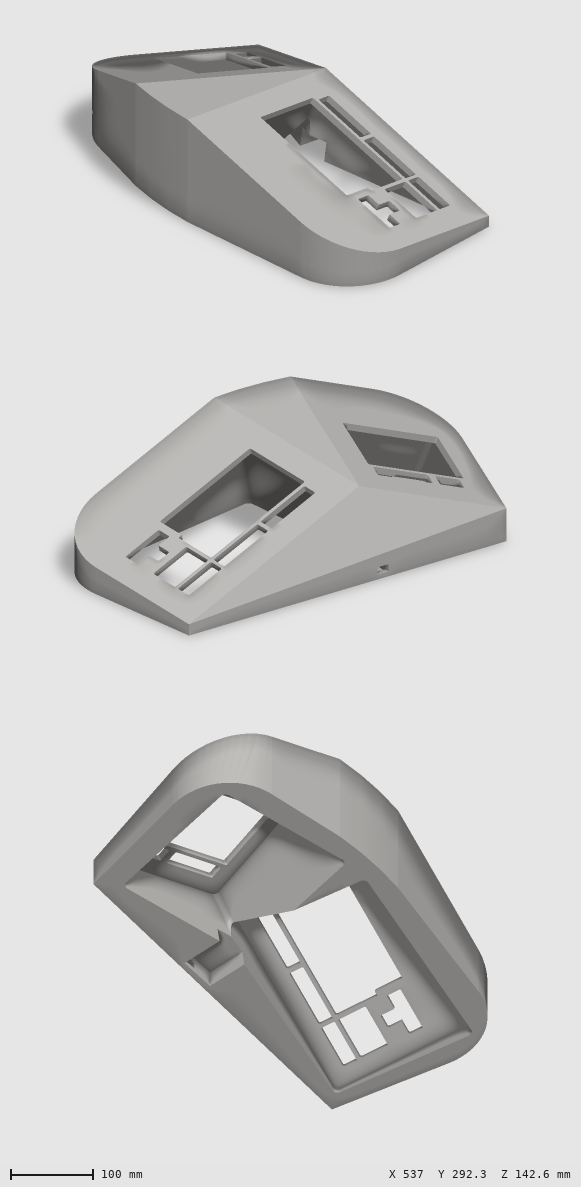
import cadquery as cq
import math

LEFT, RIGHT = -1, 1

SPLAY = 10.05
TENT = 18.8
PITCH = 7.4
TWIST = -0.52
HUB = cq.Vector(-41.1, 100.0, 109.8)
WING_WIDTH = {LEFT: 203.0, RIGHT: 293.5}
WING_DEPTH = 251.2
CORNER_RADIUS = 90.0
FAN_BULGE = 3.2

PLATE = 9.0
HUB_RIM = 15.0
BACK_RIM = 13.0
OUTER_RIM = 13.0
FRONT_RIM = 46.0
HOLLOW_RADIUS = 7.0
DEEP = 400.0

KEY = 19.0
OPENING_RADIUS = 2.0
OVERCUT = 5.0
FUNCTION_ROW = 35.3
MAIN_ROW = 59.0
MAIN_START = 35.0
MAIN_HEIGHT = 5 * KEY
LEFT_MAIN_WIDTH = 131.5
RIGHT_MAIN_WIDTH = 161.5
RIGHT_NARROW_WIDTH = 155.5
RIGHT_STEP = 3 * KEY
FUNCTION_WIDTH = 75.7
LEFT_FUNCTION_START = 39.3
LEFT_SINGLE_START = 125.0
LEFT_SINGLE_WIDTH = 33.5
RIGHT_FUNCTION_START = 40.4
FUNCTION_PITCH = 81.1
NAVIGATION_START = 201.5
ARROW_ROW = 107.0
ARROW_STEM_OVERLAP = KEY / 4

BAY_LEFT, BAY_RIGHT = -62.0, -14.0
BAY_FRONT, BAY_BACK = 40.0, 132.0
BAY_HEIGHT = 25.0
PORT_LEFT, PORT_RIGHT = -58.0, -42.0
PORT_BOTTOM, PORT_TOP = 6.6, 16.4
PORT_END = 160.0


def wing_axes(side):
    """Unit vectors across a wing, away from the hub, and along it, towards the front."""
    splay, tent, pitch, twist = (math.radians(angle) for angle in (SPLAY, TENT, PITCH, TWIST))
    heading = splay + math.asin(math.tan(tent) * math.tan(pitch))
    across = cq.Vector(
        side * math.cos(tent) * math.cos(splay),
        math.cos(tent) * math.sin(splay),
        -math.sin(tent),
    )
    along = cq.Vector(
        side * math.cos(pitch) * math.sin(heading),
        -math.cos(pitch) * math.cos(heading),
        math.sin(pitch),
    )
    turn = cq.Plane.XY().rotated((0, 0, math.degrees(twist)))
    return turn.toWorldCoords(across), turn.toWorldCoords(along)


def panel_plane(side, depth=0.0):
    """Plane of a panel, or one parallel to it at a depth below, with local Y towards the front."""
    across, along = wing_axes(side)
    normal = across.cross(along)
    downward = normal * (-1 if normal.z > 0 else 1)
    return cq.Plane(HUB + downward * depth, across, normal)


def panel_point(side, across, along):
    return panel_plane(side).toWorldCoords((across, along))


def column(wire):
    """Vertical column below a closed outline."""
    drop = cq.Vector(0, 0, -DEEP)
    return cq.Workplane(cq.Solid.extrudeLinear(cq.Face.makeFromWires(wire), drop))


def wing(side):
    width = WING_WIDTH[side]
    arc_x = width - CORNER_RADIUS
    arc_y = WING_DEPTH - CORNER_RADIUS
    diagonal = CORNER_RADIUS * math.sqrt(0.5)
    outline = (
        cq.Workplane(panel_plane(side))
        .lineTo(width, 0)
        .lineTo(width, arc_y)
        .threePointArc((arc_x + diagonal, arc_y + diagonal), (arc_x, WING_DEPTH))
        .lineTo(0, WING_DEPTH)
        .close()
    )
    return column(outline.wire().val())


def fan():
    """Triangle with a bowed front between the two wings."""
    left = panel_point(LEFT, 0, WING_DEPTH)
    right = panel_point(RIGHT, 0, WING_DEPTH)
    middle = (left + right) * 0.5
    tip = middle + (middle - HUB).normalized() * FAN_BULGE
    edges = [
        cq.Edge.makeLine(HUB, left),
        cq.Edge.makeThreePointArc(left, tip, right),
        cq.Edge.makeLine(right, HUB),
    ]
    return column(cq.Wire.assembleEdges(edges))


def back():
    """Sloping triangle behind the two wings."""
    left = panel_point(LEFT, WING_WIDTH[LEFT], 0)
    right = panel_point(RIGHT, WING_WIDTH[RIGHT], 0)
    return column(cq.Wire.makePolygon([HUB, right, left], close=True))


def sunk_block(side, start, row, width, height, top, bottom, radius):
    """Block square to a panel, between two depths below it, with rounded corners."""
    plane = panel_plane(side, top)
    downward = -1 if plane.zDir.z > 0 else 1
    block = (
        cq.Workplane(plane)
        .center(start + width / 2, row + height / 2)
        .rect(width, height)
        .extrude(downward * (bottom - top))
    )
    return block.edges(cq.selectors.ParallelDirSelector(plane.zDir)).fillet(radius)


def hollow(side):
    width = WING_WIDTH[side] - HUB_RIM - OUTER_RIM
    depth = WING_DEPTH - BACK_RIM - FRONT_RIM
    return sunk_block(side, HUB_RIM, BACK_RIM, width, depth, PLATE, DEEP, HOLLOW_RADIUS)


def opening(side, start, row, width, height):
    return sunk_block(side, start, row, width, height, -OVERCUT, PLATE + OVERCUT, OPENING_RADIUS)


def left_openings():
    return [
        opening(LEFT, MAIN_START, MAIN_ROW, LEFT_MAIN_WIDTH, MAIN_HEIGHT),
        opening(LEFT, LEFT_FUNCTION_START, FUNCTION_ROW, FUNCTION_WIDTH, KEY),
        opening(LEFT, LEFT_SINGLE_START, FUNCTION_ROW, LEFT_SINGLE_WIDTH, KEY),
    ]


def right_openings():
    navigation_width = 3 * KEY
    function_2_start = RIGHT_FUNCTION_START + FUNCTION_PITCH
    return [
        opening(RIGHT, MAIN_START, MAIN_ROW, RIGHT_MAIN_WIDTH, RIGHT_STEP),
        opening(RIGHT, MAIN_START, MAIN_ROW, RIGHT_NARROW_WIDTH, MAIN_HEIGHT),
        opening(RIGHT, RIGHT_FUNCTION_START, FUNCTION_ROW, FUNCTION_WIDTH, KEY),
        opening(RIGHT, function_2_start, FUNCTION_ROW, FUNCTION_WIDTH, KEY),
        opening(RIGHT, NAVIGATION_START, FUNCTION_ROW, navigation_width, KEY),
        opening(RIGHT, NAVIGATION_START, MAIN_ROW, navigation_width, 2 * KEY),
        opening(RIGHT, NAVIGATION_START, ARROW_ROW + KEY, navigation_width, KEY),
        opening(RIGHT, NAVIGATION_START + KEY, ARROW_ROW, KEY, KEY + ARROW_STEM_OVERLAP),
    ]


def box_between(low, high):
    size = cq.Vector(*high) - cq.Vector(*low)
    return cq.Workplane(cq.Solid.makeBox(size.x, size.y, size.z, cq.Vector(*low)))


def cable_bay():
    bay = box_between((BAY_LEFT, BAY_FRONT, 0), (BAY_RIGHT, BAY_BACK, BAY_HEIGHT))
    port = box_between((PORT_LEFT, BAY_FRONT, PORT_BOTTOM), (PORT_RIGHT, PORT_END, PORT_TOP))
    return bay.union(port)


def outer_body():
    body = wing(LEFT).union(wing(RIGHT)).union(fan()).union(back())
    below_base = box_between((-DEEP, -DEEP, -DEEP), (DEEP, DEEP, 0))
    return body.cut(below_base)


result = outer_body().cut(hollow(LEFT)).cut(hollow(RIGHT)).cut(cable_bay())
for key_opening in left_openings() + right_openings():
    result = result.cut(key_opening)